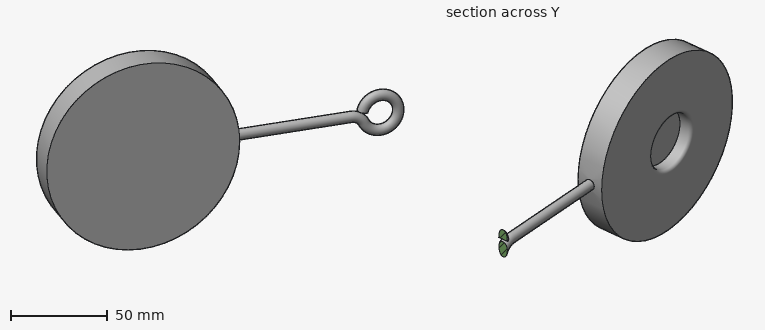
import cadquery as cq
import math

overall_length = 199.0

disc_diameter = 106.0
disc_thickness = 16.0
disc_radius = disc_diameter / 2

pocket_diameter = 32.0
pocket_depth = disc_thickness / 2
pocket_rim_radius = 2.0
pocket_offset_y = -4.0

rod_diameter = 6.0
rod_radius = rod_diameter / 2
rod_embed_length = 4.0
eye_radius = 10.0
bend_radius = 8.0
eye_end_angle = math.radians(13)

rod_start_y = disc_radius - rod_embed_length
eye_center_y = overall_length - disc_radius - eye_radius - rod_radius

center_distance = eye_radius + bend_radius
joint_angle = math.asin(bend_radius / center_distance)
bend_start_y = eye_center_y - center_distance * math.cos(joint_angle)


def eye_point(angle):
    """Point (Y, Z) on the eye centre line; angle 0 faces the disc, positive toward +Z."""
    return (
        eye_center_y - eye_radius * math.cos(angle),
        eye_radius * math.sin(angle),
    )


def bend_middle():
    """Point (Y, Z) halfway along the bend centre line."""
    angle_from_vertical = (math.pi / 2 - joint_angle) / 2
    return (
        bend_start_y + bend_radius * math.sin(angle_from_vertical),
        bend_radius * (math.cos(angle_from_vertical) - 1),
    )


def make_disc():
    disc = cq.Workplane("YZ").circle(disc_radius).extrude(disc_thickness / 2, both=True)
    disc = (
        disc.faces("<X")
        .workplane(origin=(0, pocket_offset_y, 0))
        .hole(pocket_diameter, pocket_depth)
    )
    pocket_rim = cq.selectors.RadiusNthSelector(0)
    return disc.faces("<X").edges(pocket_rim).fillet(pocket_rim_radius)


def make_eye_rod():
    eye_middle_angle = math.pi + (eye_end_angle - joint_angle) / 2
    path = (
        cq.Workplane("YZ")
        .moveTo(rod_start_y, 0)
        .lineTo(bend_start_y, 0)
        .threePointArc(bend_middle(), eye_point(-joint_angle))
        .threePointArc(eye_point(eye_middle_angle), eye_point(eye_end_angle))
    )
    section = cq.Workplane("XZ", origin=(0, rod_start_y, 0)).circle(rod_radius)
    return section.sweep(path)


result = make_disc().union(make_eye_rod())